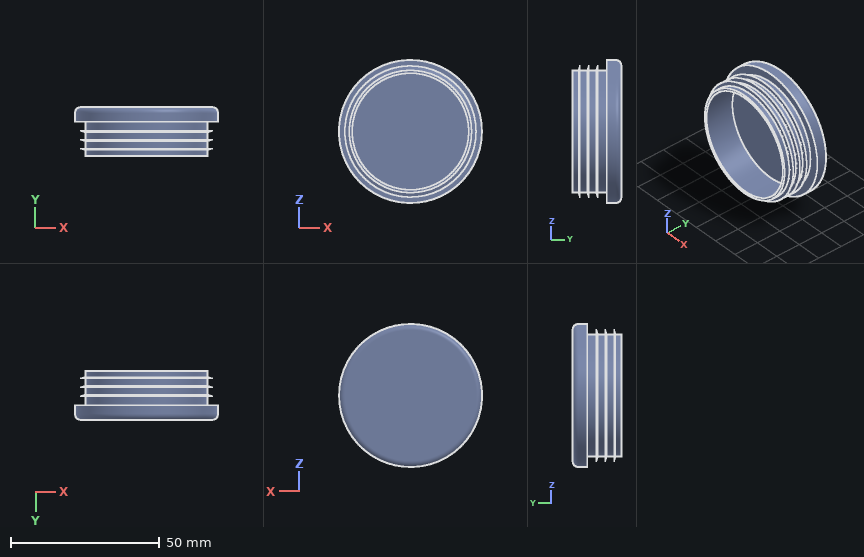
import cadquery as cq

overall_length = 16.5

head_radius = 24.15
head_thickness = 5.0
head_edge_radius = 2.0

plug_length = overall_length - head_thickness
plug_radius = 20.6
wall_thickness = 0.95
pocket_radius = plug_radius - wall_thickness
pocket_depth = plug_length

fin_count = 3
fin_pitch = 3.0
fin_root_thickness = 0.5
fin_radius = 22.1
fin_root_overlap = 0.5


def cylinder(radius, start, length):
    """Solid cylinder on the Y axis, running from start towards +Y."""
    return (
        cq.Workplane("XZ", origin=(0, start, 0))
        .circle(radius)
        .extrude(-length)
    )


def sealing_fin(flat_face):
    """Triangular ring whose flat side lies at Y = flat_face."""
    taper_end = flat_face - fin_root_thickness
    root_radius = plug_radius - fin_root_overlap
    profile = [
        (root_radius, flat_face),
        (fin_radius, flat_face),
        (plug_radius, taper_end),
        (root_radius, taper_end),
    ]
    return (
        cq.Workplane("XY")
        .polyline(profile)
        .close()
        .revolve(360, (0, 0, 0), (0, 1, 0))
    )


head = cylinder(head_radius, plug_length, head_thickness)
head = head.faces(">Y").edges().fillet(head_edge_radius)

cap = head.union(cylinder(plug_radius, 0, plug_length))
for index in range(1, fin_count + 1):
    cap = cap.union(sealing_fin(plug_length - index * fin_pitch))

result = cap.cut(cylinder(pocket_radius, 0, pocket_depth))